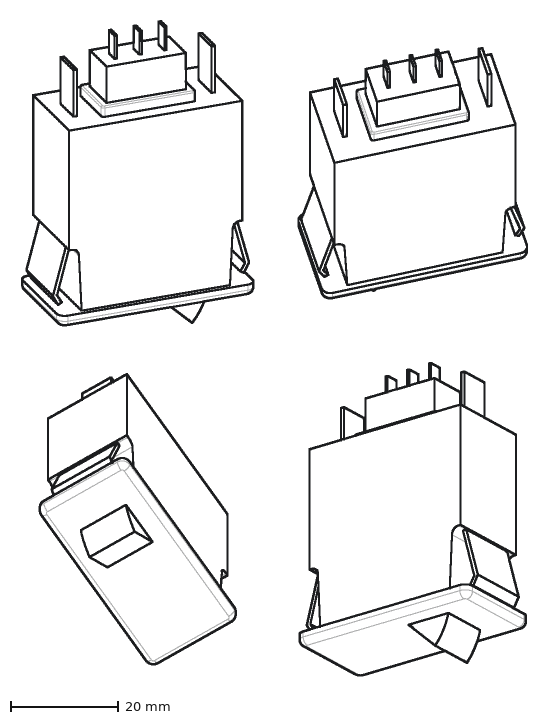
import cadquery as cq


flange_width = 19.6
flange_length = 39.65
flange_thickness = 2.4
flange_corner_radius = 1.7
flange_edge_radius = 1.25

body_width = 17.4
body_length = 35.0
body_height = 37.25
step_height = 12.8
step_fillet_radius = 1.5
neck_top_length = 31.05
neck_bottom_length = 29.95

clip_width = 12.85
clip_root_outer = 17.15
clip_root_inner = 16.35
clip_elbow_inner = 19.0
clip_elbow_height = 2.85
clip_tip_outer = (18.75, 0.9)
clip_tip_inner = (18.0, 1.3)
clip_root_embed = 0.3

plinth_width = 11.0
plinth_length = 18.9
plinth_height = 2.1
plinth_corner_radius = 0.55
plinth_edge_radius = 0.3
block_width = 8.1
block_length = 16.0
block_height = 9.5

pin_width = 2.8
pin_thickness = 0.5
pin_height = 4.7
pin_pitch = 5.0
blade_width = 6.4
blade_thickness = 0.7
blade_pitch = 27.9

rocker_width = 9.95
rocker_drop = 5.85
rocker_tip_y = 8.9
rocker_back_y = 11.95
rocker_front_y = 2.7
rocker_back_bulge = 0.4


def upright_box(width, length, height, base_z, center_y=0.0):
    """Box standing on base_z, centred on X = 0 and on center_y."""
    return (
        cq.Workplane("XY", origin=(0, center_y, base_z))
        .rect(width, length)
        .extrude(height)
    )


def extrude_across(profile, width):
    """Extrude a YZ profile along X, centred on X = 0."""
    return profile.extrude(width / 2, both=True)


def make_flange():
    flange = upright_box(flange_width, flange_length, flange_thickness, -flange_thickness)
    flange = flange.edges("|Z").fillet(flange_corner_radius)
    return flange.faces("<Z").edges().fillet(flange_edge_radius)


def make_body():
    half_length = body_length / 2
    half_neck_top = neck_top_length / 2
    half_neck_bottom = neck_bottom_length / 2
    fillet_end_z = step_height - step_fillet_radius
    fillet_start_y = half_neck_top + step_fillet_radius

    profile = (
        cq.Workplane("YZ")
        .moveTo(-half_neck_bottom, 0)
        .lineTo(half_neck_bottom, 0)
        .lineTo(half_neck_top, fillet_end_z)
        .radiusArc((fillet_start_y, step_height), step_fillet_radius)
        .lineTo(half_length, step_height)
        .lineTo(half_length, body_height)
        .lineTo(-half_length, body_height)
        .lineTo(-half_length, step_height)
        .lineTo(-fillet_start_y, step_height)
        .radiusArc((-half_neck_top, fillet_end_z), step_fillet_radius)
        .close()
    )
    return extrude_across(profile, body_width)


def make_clip():
    """Bent strip on the +Y side, its root sunk into the body step."""
    root_z = step_height + clip_root_embed
    profile = cq.Workplane("YZ").polyline([
        (clip_root_inner, root_z),
        (clip_root_outer, root_z),
        (clip_root_outer, step_height),
        (flange_length / 2, clip_elbow_height),
        clip_tip_outer,
        clip_tip_inner,
        (clip_elbow_inner, clip_elbow_height),
        (clip_root_inner, step_height),
    ]).close()
    return extrude_across(profile, clip_width)


def make_terminal_block():
    plinth = upright_box(plinth_width, plinth_length, plinth_height, body_height)
    plinth = plinth.edges("|Z").fillet(plinth_corner_radius)
    plinth = plinth.faces(">Z").edges().fillet(plinth_edge_radius)
    return plinth.union(upright_box(block_width, block_length, block_height, body_height))


def make_rocker():
    tip_z = -flange_thickness - rocker_drop
    profile = (
        cq.Workplane("YZ")
        .moveTo(rocker_front_y, -flange_thickness)
        .lineTo(rocker_tip_y, tip_z)
        .sagittaArc((rocker_back_y, -flange_thickness), -rocker_back_bulge)
        .close()
    )
    return extrude_across(profile, rocker_width)


clip = make_clip()
result = (
    make_flange()
    .union(make_body())
    .union(clip)
    .union(clip.mirror("XZ"))
    .union(make_terminal_block())
    .union(make_rocker())
)

block_top = body_height + block_height
for pin_index in (-1, 0, 1):
    pin = upright_box(pin_width, pin_thickness, pin_height, block_top, pin_index * pin_pitch)
    result = result.union(pin)

for side in (-1, 1):
    blade = upright_box(blade_width, blade_thickness, block_height, body_height, side * blade_pitch / 2)
    result = result.union(blade)